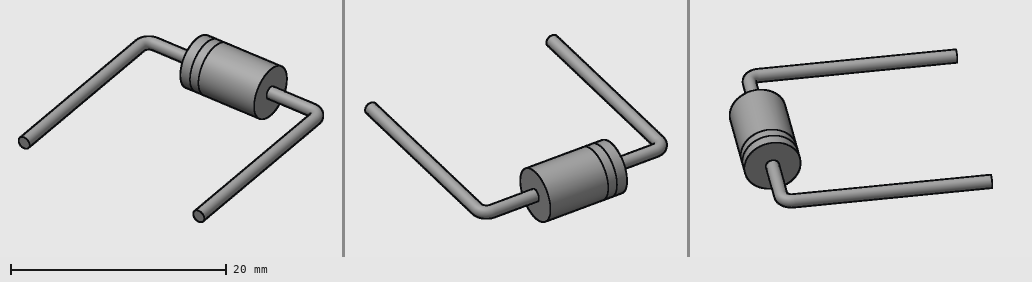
import cadquery as cq

overall_width = 21.15
overall_depth = 22.3

body_diameter = 5.3
body_length = 8.4
body_radius = body_diameter / 2
body_end_x = body_length / 2

band_offset = 1.12
band_width = 0.95
band_thickness = 0.22
band_start_x = -body_end_x + band_offset

lead_diameter = 1.27
lead_radius = lead_diameter / 2
bend_radius = 1.0
lead_leg_x = overall_width / 2 - lead_radius
lead_tip_y = body_radius - overall_depth


def make_band():
    """Ring whose outside is flush with the body."""
    return (
        cq.Workplane("YZ", origin=(band_start_x, 0, 0))
        .circle(body_radius)
        .circle(body_radius - band_thickness)
        .extrude(band_width)
    )


def make_body(band):
    """Cylinder with a groove that fits the band."""
    cylinder = cq.Workplane("YZ", origin=(-body_end_x, 0, 0)).circle(body_radius).extrude(body_length)
    return cylinder.cut(band)


def make_lead(side):
    """Round wire from a body end face (side is -1 or +1), bent towards -Y."""
    bend_start_x = lead_leg_x - bend_radius
    path = (
        cq.Workplane("XY")
        .moveTo(side * body_end_x, 0)
        .lineTo(side * bend_start_x, 0)
        .tangentArcPoint((side * lead_leg_x, -bend_radius), relative=False)
        .lineTo(side * lead_leg_x, lead_tip_y)
    )
    return cq.Workplane("YZ", origin=(side * body_end_x, 0, 0)).circle(lead_radius).sweep(path)


band = make_band()
body = make_body(band)
leads = [make_lead(side) for side in (-1, 1)]

result = cq.Compound.makeCompound([body.val(), band.val(), *[lead.val() for lead in leads]])